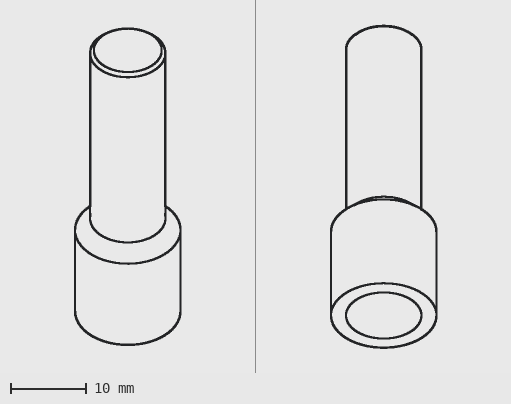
import cadquery as cq

total_length = 45.0
pin_diameter = 10.0
pin_chamfer = 0.5
sleeve_diameter = 14.0
sleeve_length = 16.0

pin_radius = pin_diameter / 2
sleeve_radius = sleeve_diameter / 2
shoulder_height = sleeve_radius - pin_radius


def make_pin():
    """Full-length round pin with a chamfered top end."""
    return (
        cq.Workplane("XY")
        .circle(pin_radius)
        .extrude(total_length)
        .faces(">Z")
        .chamfer(pin_chamfer)
    )


def make_sleeve():
    """Sleeve around the foot of the pin, with a conical top shoulder."""
    return (
        cq.Workplane("XZ")
        .moveTo(pin_radius, 0)
        .lineTo(sleeve_radius, 0)
        .lineTo(sleeve_radius, sleeve_length - shoulder_height)
        .lineTo(pin_radius, sleeve_length)
        .close()
        .revolve(360, (0, 0, 0), (0, 1, 0))
    )


pin = make_pin()
sleeve = make_sleeve()

result = cq.Compound.makeCompound([pin.val(), sleeve.val()])